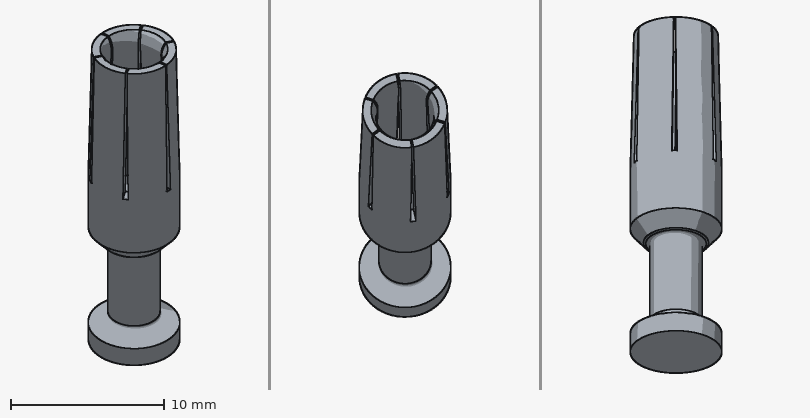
import cadquery as cq
import math

total_length = 23.25
body_radius = 6.0 / 2
neck_radius = 3.45 / 2

flange_height = 1.35
flange_cone_top = 1.98
flange_cone_top_radius = 1.81
neck_bottom = 2.25
neck_top = 7.72

shoulder_step_height = 7.97
shoulder_step_inner_radius = 1.98
shoulder_bottom_height = 8.05
shoulder_bottom_radius = 4.25 / 2
shoulder_top_height = 9.05

finger_root = 13.3
tip_radius = 2.77
bore_radius = 4.25 / 2
throat_radius = bore_radius - (body_radius - tip_radius)
mouth_radius = 2.2
mouth_depth = 0.95
bore_floor = 11.62
drill_point_angle = 118.0

finger_count = 6
slot_root_width = 0.35
slot_tip_width = 0.12


def make_body():
    """Solid outline of the contact, revolved about Z."""
    outline = (
        cq.Workplane("XZ")
        .lineTo(body_radius, 0)
        .lineTo(body_radius, flange_height)
        .lineTo(flange_cone_top_radius, flange_cone_top)
        .tangentArcPoint((neck_radius, neck_bottom), relative=False)
        .lineTo(neck_radius, neck_top)
        .tangentArcPoint((shoulder_step_inner_radius, shoulder_step_height), relative=False)
        .lineTo(shoulder_bottom_radius, shoulder_bottom_height)
        .lineTo(body_radius, shoulder_top_height)
        .lineTo(body_radius, finger_root)
        .lineTo(tip_radius, total_length)
        .lineTo(0, total_length)
        .close()
    )
    return outline.revolve(360, (0, 0), (0, 1))


def make_bore():
    """Blind bore with a drill point, narrowing to a throat below a flared mouth."""
    point_depth = bore_radius / math.tan(math.radians(drill_point_angle / 2))
    throat_height = total_length - mouth_depth
    flare = mouth_radius - throat_radius
    flare_radius = (mouth_depth**2 + flare**2) / (2 * flare)
    half_angle = math.asin(mouth_depth / flare_radius) / 2
    flare_middle = (
        throat_radius + flare_radius * (1 - math.cos(half_angle)),
        throat_height + flare_radius * math.sin(half_angle),
    )
    outline = (
        cq.Workplane("XZ")
        .moveTo(0, bore_floor - point_depth)
        .lineTo(bore_radius, bore_floor)
        .lineTo(bore_radius, finger_root)
        .lineTo(throat_radius, throat_height)
        .threePointArc(flare_middle, (mouth_radius, total_length))
        .lineTo(0, total_length)
        .close()
    )
    return outline.revolve(360, (0, 0), (0, 1))


def make_slot(angle):
    """Radial slot on one side of the axis, narrowing from finger root to tip."""
    slot = (
        cq.Workplane("XZ")
        .polyline([
            (-slot_root_width / 2, finger_root),
            (slot_root_width / 2, finger_root),
            (slot_tip_width / 2, total_length),
            (-slot_tip_width / 2, total_length),
        ])
        .close()
        .extrude(body_radius + slot_root_width)
    )
    return slot.rotate((0, 0, 0), (0, 0, 1), angle)


result = make_body().cut(make_bore())
for index in range(finger_count):
    result = result.cut(make_slot(index * 360 / finger_count))